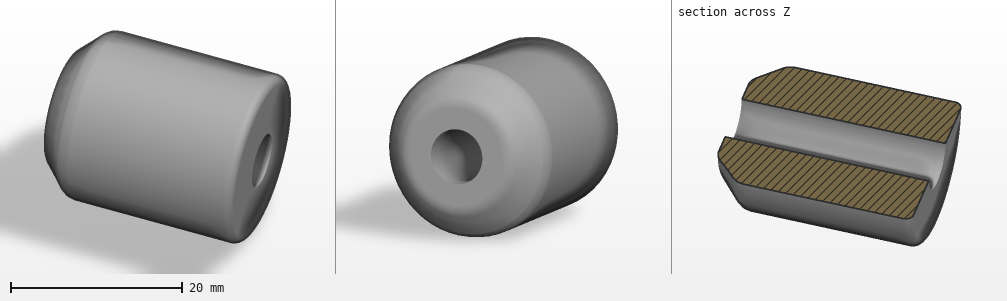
import cadquery as cq

length = 24.9
outer_diameter = 20.5
bore_diameter = 6.5
nose_chamfer = 3.6
nose_fillet = 2.0
rear_fillet = 1.0

body = cq.Workplane("YZ").circle(outer_diameter / 2).extrude(length)

body = body.faces("<X").chamfer(nose_chamfer)
nose_end = nose_chamfer + nose_fillet
nose_zone = cq.selectors.BoxSelector(
    (-nose_end, -outer_diameter, -outer_diameter),
    (nose_end, outer_diameter, outer_diameter),
)
body = body.edges("%CIRCLE").edges(nose_zone).fillet(nose_fillet)

body = body.faces(">X").edges().fillet(rear_fillet)

bore = cq.Workplane("YZ").circle(bore_diameter / 2).extrude(length)
result = body.cut(bore)